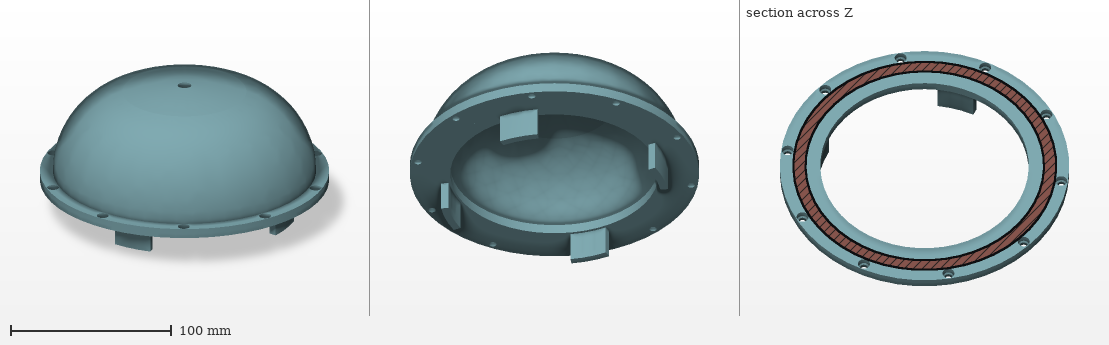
import cadquery as cq
import math

flange_diameter = 180.0
flange_thickness = 6.1

dome_diameter = 163.8
bore_diameter = 148.0
dome_top = 64.0
shoulder_radius = 55.0
wall = (dome_diameter - bore_diameter) / 2
crown_hole_diameter = 8.5

screw_count = 10
screw_circle_radius = 85.9
screw_hole_diameter = 4.7
counterbore_diameter = 7.4
counterbore_depth = 3.8

ring_inner_radius = 64.8
leg_outer_radius = 71.3
leg_inner_radius = 66.6
leg_length = 18.9
leg_angle = 20.0
leg_count = 4
first_leg_direction = 45.0

shoulder_x = dome_diameter / 2 - shoulder_radius
crown_rise = dome_top - flange_thickness
crown_radius = (shoulder_x**2 + crown_rise**2 - shoulder_radius**2) / (2 * (crown_rise - shoulder_radius))
crown_center_z = dome_top - crown_radius
crown_half_angle = math.asin(shoulder_x / (crown_radius - shoulder_radius))


def arc_point(center_x, center_z, radius, angle):
    """Point on an arc in the XZ plane, with the angle measured from the Z axis."""
    return (center_x + radius * math.sin(angle), center_z + radius * math.cos(angle))


def make_dome_solid(inset):
    """Solid of revolution under the dome surface, moved inward by the inset."""
    crown_r = crown_radius - inset
    shoulder_r = shoulder_radius - inset
    base_r = dome_diameter / 2 - inset
    crown_mid = arc_point(0, crown_center_z, crown_r, crown_half_angle / 2)
    crown_edge = arc_point(0, crown_center_z, crown_r, crown_half_angle)
    shoulder_mid_angle = (crown_half_angle + math.pi / 2) / 2
    shoulder_mid = arc_point(shoulder_x, flange_thickness, shoulder_r, shoulder_mid_angle)
    return (
        cq.Workplane("XZ")
        .lineTo(base_r, 0)
        .lineTo(base_r, flange_thickness)
        .threePointArc(shoulder_mid, crown_edge)
        .threePointArc(crown_mid, (0, dome_top - inset))
        .close()
        .revolve(360, (0, 0, 0), (0, 1, 0))
    )


def make_screw_cutters(diameter, depth):
    """Cylinders on the screw circle, reaching down from the top of the flange."""
    return (
        cq.Workplane("XY", origin=(0, 0, flange_thickness))
        .polarArray(screw_circle_radius, 90, 360, screw_count)
        .circle(diameter / 2)
        .extrude(-depth)
    )


def make_cover():
    """Hollow dome and its flange, with the crown hole and the screw holes."""
    flange = cq.Workplane("XY").circle(flange_diameter / 2).extrude(flange_thickness)
    crown_hole = cq.Workplane("XY").circle(crown_hole_diameter / 2).extrude(2 * dome_top)
    shell = make_dome_solid(0).union(flange).cut(make_dome_solid(wall)).cut(crown_hole)
    return shell.cut(make_screw_cutters(screw_hole_diameter, flange_thickness)).cut(
        make_screw_cutters(counterbore_diameter, counterbore_depth)
    )


def make_leg(direction):
    """Leg with a ring-sector section, centred on the given direction in degrees."""

    def corner(radius, offset):
        angle = math.radians(direction + offset)
        return (radius * math.cos(angle), radius * math.sin(angle))

    half_angle = leg_angle / 2
    return (
        cq.Workplane("XY")
        .moveTo(*corner(leg_inner_radius, -half_angle))
        .lineTo(*corner(leg_outer_radius, -half_angle))
        .threePointArc(corner(leg_outer_radius, 0), corner(leg_outer_radius, half_angle))
        .lineTo(*corner(leg_inner_radius, half_angle))
        .threePointArc(corner(leg_inner_radius, 0), corner(leg_inner_radius, -half_angle))
        .close()
        .extrude(-leg_length)
    )


def make_support():
    """Ring that fills the straight part of the bore, with its legs below."""
    ring = cq.Workplane("XY").circle(bore_diameter / 2).circle(ring_inner_radius).extrude(flange_thickness)
    for index in range(leg_count):
        ring = ring.union(make_leg(first_leg_direction + index * 360 / leg_count))
    return ring


cover = make_cover()
support = make_support()
result = cq.Compound.makeCompound([*cover.solids().vals(), *support.solids().vals()])